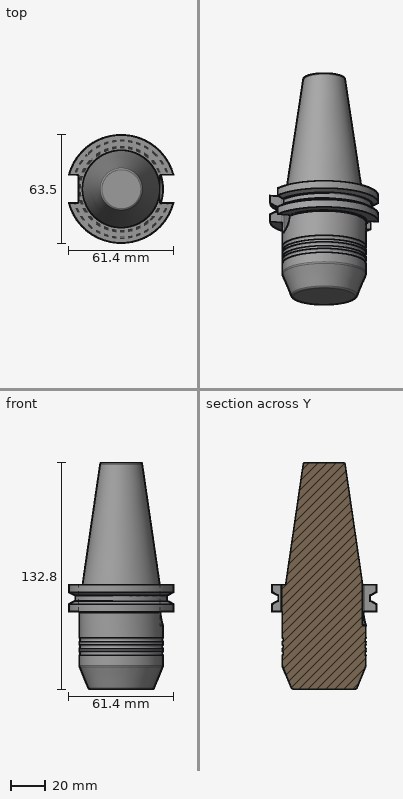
import cadquery as cq
import math


GAUGE_RADIUS = 44.45 / 2
TAPER_LENGTH = 68.25
TAPER_RATIO = 7 / 48
TAPER_TIP_FILLET = 1.0

FLANGE_RADIUS = 63.5 / 2
FLANGE_TOP_Z = -3.175
FLANGE_THICKNESS = 15.875
FLANGE_BOTTOM_Z = FLANGE_TOP_Z - FLANGE_THICKNESS
GRIP_GROOVE_Z = -11.1
GRIP_GROOVE_WIDTH = 7.0
GRIP_FLOOR_RADIUS = 56.36 / 2
GRIP_SHOULDER_RADIUS = 28.8
GRIP_FLANK_ANGLE = 30
GRIP_FLOOR_FILLET = 0.4

SLOT_WIDTH = 16.38
SHALLOW_SLOT_FLOOR = 25.02
DEEP_SLOT_FLOOR = 22.61
SLOT_FLOOR_FILLET = 0.8
SLOT_OVERRUN = 2.0

BODY_RADIUS = 49.25 / 2
BODY_BOTTOM_Z = -64.5
NECK_FILLET = 0.5
NOSE_LENGTH = 13.7
NOSE_END_RADIUS = 19.05
NOSE_SHOULDER_FILLET = 2.5
NOSE_END_FILLET = 1.5

RING_COUNT = 3
RING_PITCH = 4.0
RING_WIDTH = 2.4
RING_DEPTH = 0.5
TOP_RING_Z = -35.5


def revolve_profile(profile):
    """Turn a closed (radius, Z) outline drawn on the XZ plane about the Z axis."""
    return profile.close().revolve(360, (0, 0, 0), (0, 1, 0))


def fillet_circle(solid, radius, z, fillet_radius):
    """Round the circular edge of the given radius that lies at height z."""
    tolerance = 0.05
    edges = [
        edge
        for edge in solid.edges("%CIRCLE").vals()
        if abs(edge.radius() - radius) < tolerance and abs(edge.Center().z - z) < tolerance
    ]
    return solid.newObject(edges).fillet(fillet_radius)


def make_blank():
    """Taper, flange, body and conical nose as one turned solid."""
    tip_radius = GAUGE_RADIUS - TAPER_LENGTH * TAPER_RATIO
    taper_base_radius = GAUGE_RADIUS - FLANGE_TOP_Z * TAPER_RATIO
    nose_top_z = BODY_BOTTOM_Z + NOSE_LENGTH
    blank = revolve_profile(
        cq.Workplane("XZ")
        .moveTo(0, TAPER_LENGTH)
        .lineTo(tip_radius, TAPER_LENGTH)
        .lineTo(taper_base_radius, FLANGE_TOP_Z)
        .lineTo(FLANGE_RADIUS, FLANGE_TOP_Z)
        .lineTo(FLANGE_RADIUS, FLANGE_BOTTOM_Z)
        .lineTo(BODY_RADIUS, FLANGE_BOTTOM_Z)
        .lineTo(BODY_RADIUS, nose_top_z)
        .lineTo(NOSE_END_RADIUS, BODY_BOTTOM_Z)
        .lineTo(0, BODY_BOTTOM_Z)
    )
    blank = fillet_circle(blank, tip_radius, TAPER_LENGTH, TAPER_TIP_FILLET)
    blank = fillet_circle(blank, BODY_RADIUS, FLANGE_BOTTOM_Z, NECK_FILLET)
    blank = fillet_circle(blank, BODY_RADIUS, nose_top_z, NOSE_SHOULDER_FILLET)
    return fillet_circle(blank, NOSE_END_RADIUS, BODY_BOTTOM_Z, NOSE_END_FILLET)


def make_grip_groove():
    """Ring that cuts the gripper groove: sloped flanks, square shoulders, rounded floor corners."""
    rim_half = GRIP_GROOVE_WIDTH / 2
    flank_depth = FLANGE_RADIUS - GRIP_SHOULDER_RADIUS
    floor_half = rim_half - flank_depth * math.tan(math.radians(GRIP_FLANK_ANGLE))
    groove = revolve_profile(
        cq.Workplane("XZ")
        .moveTo(FLANGE_RADIUS, GRIP_GROOVE_Z + rim_half)
        .lineTo(GRIP_SHOULDER_RADIUS, GRIP_GROOVE_Z + floor_half)
        .lineTo(GRIP_FLOOR_RADIUS, GRIP_GROOVE_Z + floor_half)
        .lineTo(GRIP_FLOOR_RADIUS, GRIP_GROOVE_Z - floor_half)
        .lineTo(GRIP_SHOULDER_RADIUS, GRIP_GROOVE_Z - floor_half)
        .lineTo(FLANGE_RADIUS, GRIP_GROOVE_Z - rim_half)
    )
    for z in (GRIP_GROOVE_Z + floor_half, GRIP_GROOVE_Z - floor_half):
        groove = fillet_circle(groove, GRIP_FLOOR_RADIUS, z, GRIP_FLOOR_FILLET)
    return groove


def make_ring_groove(z):
    """Shallow ring groove with an arc section, centred at height z."""
    return revolve_profile(
        cq.Workplane("XZ")
        .moveTo(BODY_RADIUS, z + RING_WIDTH / 2)
        .threePointArc((BODY_RADIUS - RING_DEPTH, z), (BODY_RADIUS, z - RING_WIDTH / 2))
    )


def make_drive_slot(floor_distance, direction):
    """Slot open at the flange top and rim, ending in a half circle below the flange.

    direction is +1 or -1 for the side of the X axis that the slot is on.
    """
    half_width = SLOT_WIDTH / 2
    slot_top_z = FLANGE_TOP_Z + SLOT_OVERRUN
    slot = (
        cq.Workplane("YZ", origin=(direction * floor_distance, 0, 0))
        .moveTo(-half_width, slot_top_z)
        .lineTo(-half_width, FLANGE_BOTTOM_Z)
        .threePointArc((0, FLANGE_BOTTOM_Z - half_width), (half_width, FLANGE_BOTTOM_Z))
        .lineTo(half_width, slot_top_z)
        .close()
        .extrude(direction * (FLANGE_RADIUS + SLOT_OVERRUN - floor_distance))
    )
    floor_side = "<X" if direction > 0 else ">X"
    floor_edges = slot.faces(floor_side).edges("not >Z")
    return floor_edges.fillet(SLOT_FLOOR_FILLET)


result = make_blank().cut(make_grip_groove())
for ring in range(RING_COUNT):
    result = result.cut(make_ring_groove(TOP_RING_Z - ring * RING_PITCH))
result = result.cut(make_drive_slot(SHALLOW_SLOT_FLOOR, -1))
result = result.cut(make_drive_slot(DEEP_SLOT_FLOOR, 1))